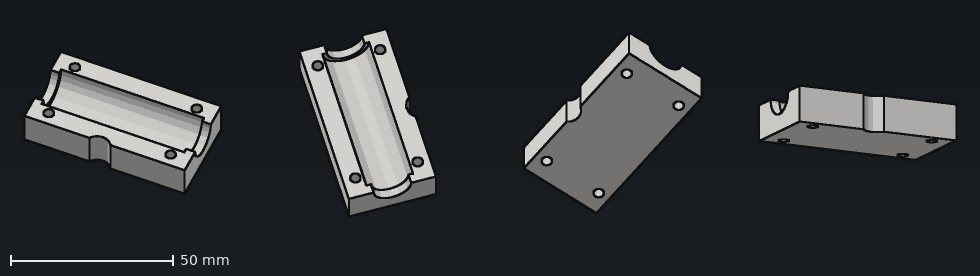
import cadquery as cq

length = 54.0
width = 28.0
height = 11.5

end_bore_diameter = 12.0
main_bore_diameter = 14.9
end_wall = 3.0
main_bore_length = length - 2 * end_wall

hole_diameter = 3.2
hole_spacing_x = 41.0
hole_spacing_y = 20.0

notch_diameter = 8.25
notch_depth = 1.95
notch_x = -1.5


def bore(diameter, bore_length):
    """Cylinder along X, centred on the top face."""
    return (
        cq.Workplane("YZ", origin=(-bore_length / 2, 0, 0))
        .center(0, height)
        .circle(diameter / 2)
        .extrude(bore_length)
    )


block = cq.Workplane("XY").box(length, width, height, centered=(True, True, False))

screw_holes = (
    cq.Workplane("XY")
    .rect(hole_spacing_x, hole_spacing_y, forConstruction=True)
    .vertices()
    .circle(hole_diameter / 2)
    .extrude(height)
)

notch_y = -width / 2 + notch_depth - notch_diameter / 2
notch = cq.Workplane("XY").center(notch_x, notch_y).circle(notch_diameter / 2).extrude(height)

result = (
    block
    .cut(bore(end_bore_diameter, length))
    .cut(bore(main_bore_diameter, main_bore_length))
    .cut(screw_holes)
    .cut(notch)
)